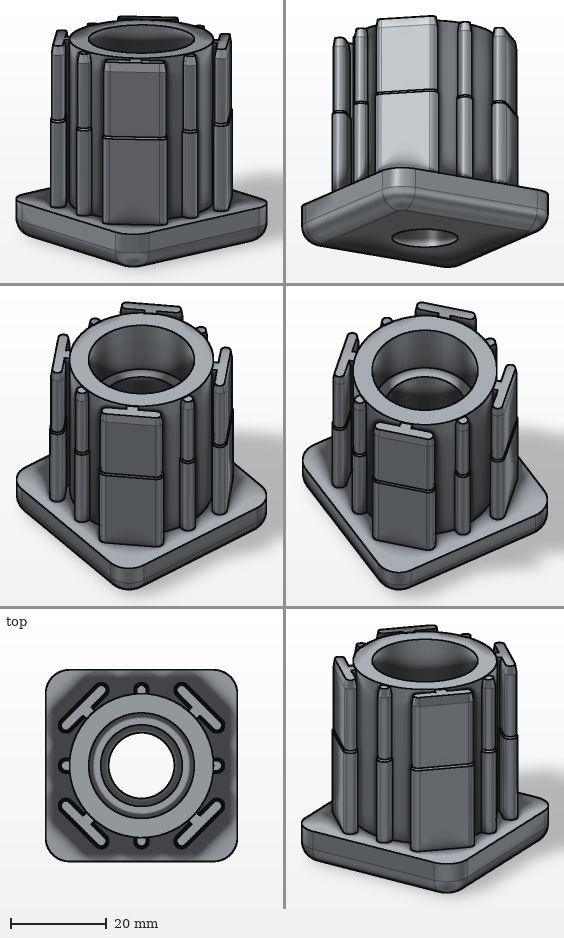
import cadquery as cq
import math

flange_side = 40.0
flange_height = 8.0
flange_corner_radius = 5.0
flange_bottom_fillet = 4.0

total_height = 43.0
sleeve_diameter = 30.0
bore_diameter = 22.0
bore_floor = 31.0
step_diameter = 17.03
step_floor = 8.0
through_diameter = 13.67

rib_top = 42.83
step_bottom = 26.4
step_top = 26.88
tip_bottom = 40.95
rib_step_inset = 0.2
rib_tip_inset = 0.3
rib_width = 3.1
rib_root = 12.9
rib_reach = 17.3

bar_span = 10.4
web_width = 2.65
web_step_inset = 0.1
web_tip_inset = 0
rib_end_centre = rib_reach - rib_width / 2
bar_distance = math.sqrt(2) * rib_end_centre - bar_span / 2
web_end_centre = bar_distance - web_width / 4


def slot_section(z, span, width):
    """Round-ended outline at height z; span is between the end centres."""
    return cq.Workplane("XY", origin=(0, 0, z)).slot2D(span + width, width)


def stepped_bar(span, width, step_inset, tip_inset):
    """Upright round-ended bar along X; each inset narrows it per side, at the step and the tip."""
    upper_width = width - 2 * step_inset
    tip_width = upper_width - 2 * tip_inset
    foot = slot_section(flange_height, span, width).extrude(step_bottom - flange_height)
    step = (
        slot_section(step_bottom, span, width)
        .workplane(offset=step_top - step_bottom)
        .slot2D(span + upper_width, upper_width)
        .loft(ruled=True)
    )
    upper = slot_section(step_top, span, upper_width).extrude(tip_bottom - step_top)
    tip = (
        slot_section(tip_bottom, span, upper_width)
        .workplane(offset=rib_top - tip_bottom)
        .slot2D(span + tip_width, tip_width)
        .loft(ruled=True)
    )
    return foot.union(step).union(upper).union(tip).clean()


def radial_bar(end_centre, width, step_inset, tip_inset):
    """Stepped bar running outwards along +X from inside the sleeve wall."""
    span = end_centre - rib_root
    return stepped_bar(span, width, step_inset, tip_inset).translate((rib_root + span / 2, 0, 0))


def corner_rib():
    """T-shaped rib pointing along +X: cross bar plus a web with a straight tip."""
    bar = stepped_bar(bar_span, rib_width, rib_step_inset, rib_tip_inset).rotate((0, 0, 0), (0, 0, 1), 90)
    bar = bar.translate((bar_distance, 0, 0))
    return bar.union(radial_bar(web_end_centre, web_width, web_step_inset, web_tip_inset))


def bore(diameter, floor):
    """Cylinder from the given floor height up through the top."""
    return cq.Workplane("XY", origin=(0, 0, floor)).circle(diameter / 2).extrude(total_height - floor)


flange = (
    cq.Workplane("XY")
    .rect(flange_side, flange_side)
    .extrude(flange_height)
    .edges("|Z")
    .fillet(flange_corner_radius)
    .faces("<Z")
    .edges()
    .fillet(flange_bottom_fillet)
)
sleeve = (
    cq.Workplane("XY", origin=(0, 0, flange_height))
    .circle(sleeve_diameter / 2)
    .extrude(total_height - flange_height)
)

result = flange.union(sleeve)
side_rib = radial_bar(rib_end_centre, rib_width, rib_step_inset, rib_tip_inset)
diagonal_rib = corner_rib()
for quarter_turn in (0, 90, 180, 270):
    result = result.union(side_rib.rotate((0, 0, 0), (0, 0, 1), quarter_turn))
    result = result.union(diagonal_rib.rotate((0, 0, 0), (0, 0, 1), quarter_turn + 45))

result = result.cut(bore(bore_diameter, bore_floor))
result = result.cut(bore(step_diameter, step_floor))
result = result.cut(bore(through_diameter, 0))